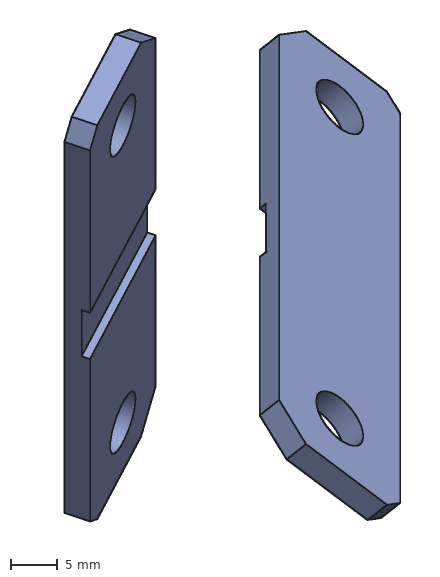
import cadquery as cq

thickness = 3.0
width = 18.0
length = 69.0

large_chamfer = 4.0
small_chamfer = 2.0

hole_diameter = 7.0
hole_spacing = 52.0

groove_height = 8.1
groove_depth = 1.0


def make_plate():
    """Flat plate centred on the origin with chamfered corners."""
    plate = cq.Workplane("XY").box(thickness, width, length)
    plate = plate.edges("|X and >Y").chamfer(large_chamfer)
    return plate.edges("|X and <Y").chamfer(small_chamfer)


def make_holes():
    """Two cylinders along X, one near each end of the plate."""
    return (
        cq.Workplane("YZ")
        .pushPoints([(0, -hole_spacing / 2), (0, hole_spacing / 2)])
        .circle(hole_diameter / 2)
        .extrude(thickness, both=True)
    )


def make_groove():
    """Full-width block that cuts the groove into the +X face."""
    groove_center_x = (thickness - groove_depth) / 2
    return (
        cq.Workplane("XY")
        .box(groove_depth, width, groove_height)
        .translate((groove_center_x, 0, 0))
    )


result = make_plate().cut(make_holes()).cut(make_groove())